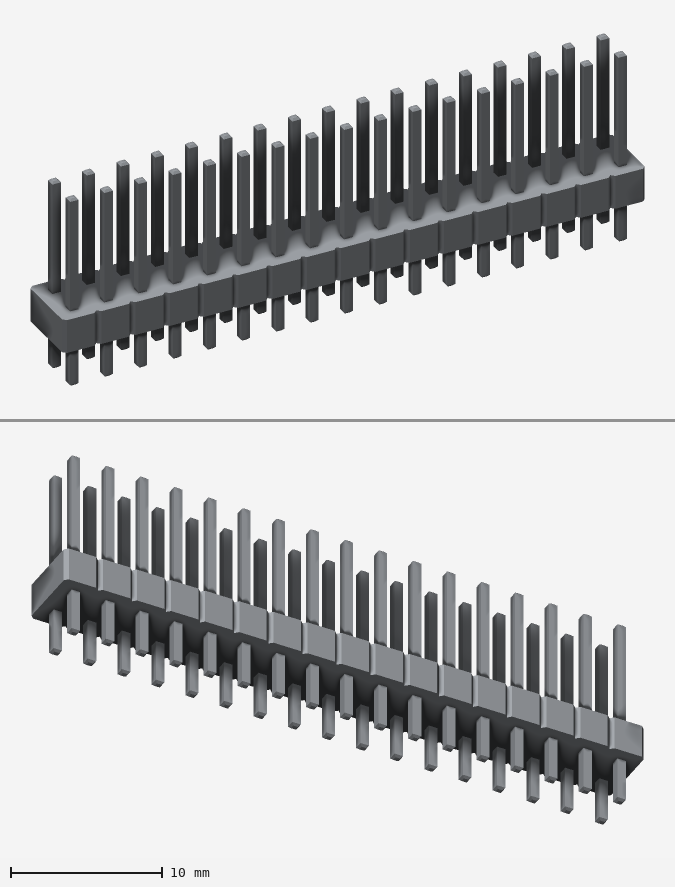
import cadquery as cq

pins_per_row = 17
housing_length = 43.2
housing_width = 5.0
housing_height = 2.5
corner_chamfer = 0.25

pitch = housing_length / pins_per_row
pin_length = 14.3
pin_width = pitch / 4
pin_tip_chamfer = 0.15
pin_length_below = 3.3


def housing_cell(y_center):
    """One housing segment; chamfered corners of neighbours form V notches."""
    return (
        cq.Workplane("XY")
        .center(0, y_center)
        .rect(housing_width, pitch)
        .extrude(housing_height)
        .edges("|Z")
        .chamfer(corner_chamfer)
    )


def pin(x_center, y_center):
    """One square pin with all edges of both tips chamfered."""
    return (
        cq.Workplane("XY", origin=(x_center, y_center, -pin_length_below))
        .rect(pin_width, pin_width)
        .extrude(pin_length)
        .faces("<Z or >Z")
        .edges()
        .chamfer(pin_tip_chamfer)
    )


bodies = []
for index in range(pins_per_row):
    y_center = (index - (pins_per_row - 1) / 2) * pitch
    bodies.append(housing_cell(y_center).val())
    for side in (-1, 1):
        bodies.append(pin(side * pitch / 2, y_center).val())

header = bodies[0].fuse(*bodies[1:]).clean()
result = cq.Workplane(header.Solids()[0])